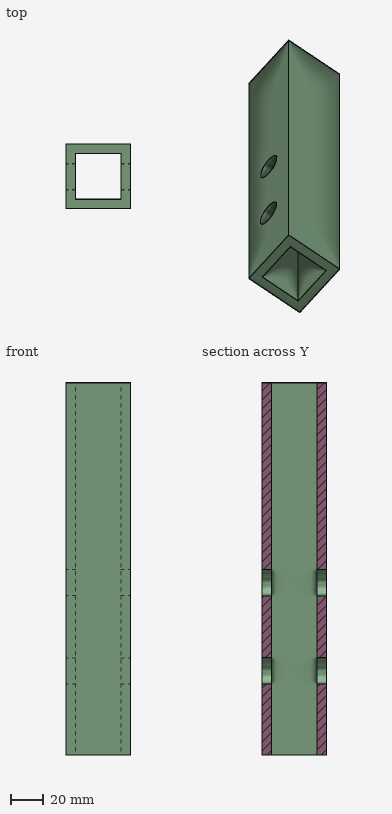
import cadquery as cq

tube_width = 40.0
tube_length = 230.0
wall_thickness = 6.0

hole_diameter = 16.0
lower_hole_centre = (-0.3, 52.0)
upper_hole_centre = (0.0, 106.5)


def square_tube():
    """Square tube along Z, centred on the Z axis, with its lower end at Z = 0."""
    bore_width = tube_width - 2 * wall_thickness
    return (
        cq.Workplane("XY")
        .rect(tube_width, tube_width)
        .rect(bore_width, bore_width)
        .extrude(tube_length)
    )


def cross_hole(centre):
    """Cylinder along X that passes through both side walls at the given (Y, Z) centre."""
    return (
        cq.Workplane("YZ")
        .center(*centre)
        .circle(hole_diameter / 2)
        .extrude(tube_width / 2, both=True)
    )


result = square_tube()
for hole_centre in (lower_hole_centre, upper_hole_centre):
    result = result.cut(cross_hole(hole_centre))